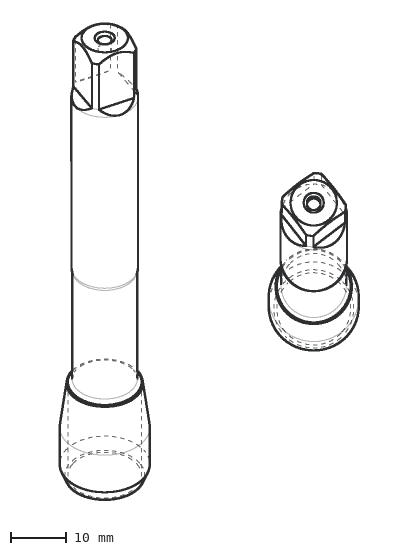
import cadquery as cq
import math

TOTAL_LENGTH = 100.0

SHANK_DIA = 12.0
NECK_DIA = 11.7
NECK_TOP_Z = 46.9
NECK_STEP_HEIGHT = 0.6
CORE_DIA = 13.2
CORE_TOP_Z = 21.3
CORE_FILLET = (CORE_DIA - NECK_DIA) / 2

SQUARE_SIZE = 9.0
SQUARE_CORNER_DIA = 11.5
SHOULDER_Z = 86.6
SQUARE_FLAT_Z = SHOULDER_Z + (SHANK_DIA - SQUARE_SIZE) / 2
TIP_DIA = 8.3
TIP_CHAMFER = (SQUARE_CORNER_DIA - TIP_DIA) / 2

CENTRE_HOLE_DIA = 2.5
CENTRE_HOLE_DEPTH = 2.5
COUNTERSINK_DIA = 3.6
COUNTERSINK_DEPTH = (COUNTERSINK_DIA - CENTRE_HOLE_DIA) / 2
DRILL_POINT_ANGLE = 120.0

SLEEVE_DIA = 16.2
SLEEVE_FOOT_DIA = 14.3
SLEEVE_FOOT_HEIGHT = 2.5
SLEEVE_TAPER_Z = 11.0
SLEEVE_RIM_DIA = 13.7
SLEEVE_RIM_CHAMFER = (SLEEVE_RIM_DIA - CORE_DIA) / 2


def revolve_profile(points):
    """Turn a closed outline of (diameter, z) points about the Z axis."""
    outline = [(diameter / 2, z) for diameter, z in points]
    return cq.Workplane("XZ").polyline(outline).close().revolve(360, (0, 0), (0, 1))


def make_square_envelope():
    """Square drive with flats that flare out at 45 degrees to the full shank."""
    square = (
        cq.Workplane("XY")
        .workplane(offset=SQUARE_FLAT_Z)
        .rect(SQUARE_SIZE, SQUARE_SIZE)
        .extrude(TOTAL_LENGTH - SQUARE_FLAT_Z)
    )
    run_out = (
        cq.Workplane("XY")
        .workplane(offset=SHOULDER_Z)
        .rect(SHANK_DIA, SHANK_DIA)
        .workplane(offset=SQUARE_FLAT_Z - SHOULDER_Z)
        .rect(SQUARE_SIZE, SQUARE_SIZE)
        .loft(ruled=True)
    )
    shank = cq.Workplane("XY").rect(CORE_DIA, CORE_DIA).extrude(SHOULDER_Z)
    return shank.union(run_out).union(square)


def make_centre_hole():
    """Countersunk centre hole with a conical drill point."""
    hole_bottom_z = TOTAL_LENGTH - CENTRE_HOLE_DEPTH
    point_depth = CENTRE_HOLE_DIA / 2 / math.tan(math.radians(DRILL_POINT_ANGLE / 2))
    return revolve_profile([
        (0, hole_bottom_z - point_depth),
        (CENTRE_HOLE_DIA, hole_bottom_z),
        (CENTRE_HOLE_DIA, TOTAL_LENGTH - COUNTERSINK_DEPTH),
        (COUNTERSINK_DIA, TOTAL_LENGTH),
        (0, TOTAL_LENGTH),
    ])


def make_core_fillet():
    """Concave fillet ring that runs the neck out to the edge of the core."""
    neck_radius = NECK_DIA / 2
    core_radius = CORE_DIA / 2
    arc_offset = CORE_FILLET * (1 - math.sqrt(0.5))
    return (
        cq.Workplane("XZ")
        .moveTo(neck_radius, CORE_TOP_Z)
        .lineTo(core_radius, CORE_TOP_Z)
        .threePointArc(
            (neck_radius + arc_offset, CORE_TOP_Z + arc_offset),
            (neck_radius, CORE_TOP_Z + CORE_FILLET),
        )
        .close()
        .revolve(360, (0, 0), (0, 1))
    )


def make_shaft():
    """Stepped round shaft with a square drive on its upper end."""
    turned = revolve_profile([
        (0, 0),
        (CORE_DIA, 0),
        (CORE_DIA, CORE_TOP_Z),
        (NECK_DIA, CORE_TOP_Z),
        (NECK_DIA, NECK_TOP_Z),
        (SHANK_DIA, NECK_TOP_Z + NECK_STEP_HEIGHT),
        (SHANK_DIA, SHOULDER_Z),
        (SQUARE_CORNER_DIA, SQUARE_FLAT_Z),
        (SQUARE_CORNER_DIA, TOTAL_LENGTH - TIP_CHAMFER),
        (TIP_DIA, TOTAL_LENGTH),
        (0, TOTAL_LENGTH),
    ])
    squared = turned.intersect(make_square_envelope())
    return squared.union(make_core_fillet()).cut(make_centre_hole())


def make_sleeve():
    """Tapered sleeve bored to fit the core of the shaft."""
    return revolve_profile([
        (CORE_DIA, 0),
        (SLEEVE_FOOT_DIA, 0),
        (SLEEVE_DIA, SLEEVE_FOOT_HEIGHT),
        (SLEEVE_DIA, SLEEVE_TAPER_Z),
        (SLEEVE_RIM_DIA, CORE_TOP_Z - SLEEVE_RIM_CHAMFER),
        (CORE_DIA, CORE_TOP_Z),
    ])


shaft = make_shaft()
sleeve = make_sleeve()

result = cq.Compound.makeCompound([shaft.val(), sleeve.val()])